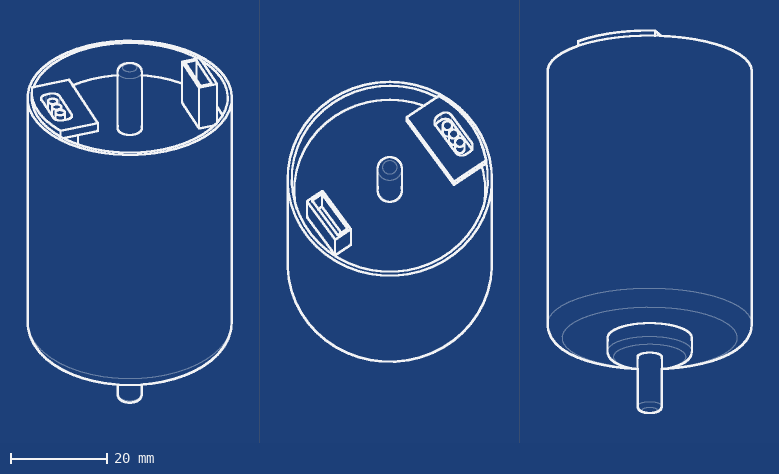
import cadquery as cq

overall_length = 82.5
boss_bottom = 11.8
can_bottom = 16.0
rim_height = 75.0
core_top = 67.4

can_diameter = 42.4
bore_diameter = 40.7
can_corner_radius = 3.05
can_floor_thickness = can_corner_radius
can_floor_top = can_bottom + can_floor_thickness
boss_diameter = 17.5
boss_corner_radius = 1.2

plate_width = 17.2
plate_inner_y = -10.2
plate_top = 76.5
plate_thickness = 2.0
plate_bottom = plate_top - plate_thickness
pocket_length = 10.2
pocket_width = 4.0
pocket_corner_radius = 1.6
pocket_depth = 4.1
pocket_y = -16.2
pin_count = 3
pin_diameter = 2.0
pin_pitch = 2.2
pedestal_wall = 0.7

core_diameter = 39.6
shaft_diameter = 5.0
shaft_top_face_diameter = 3.0
shaft_bottom_face_diameter = 3.2
shaft_top_radius = (shaft_diameter - shaft_top_face_diameter) / 2
shaft_bottom_radius = (shaft_diameter - shaft_bottom_face_diameter) / 2
socket_length = 10.2
socket_width = 4.0
socket_y = 15.4
socket_top = 77.6
socket_cavity_length = 9.2
socket_cavity_width = 2.5
socket_cavity_y = 15.2
socket_cavity_depth = 8.25


def cylinder(diameter, bottom, top):
    """Upright cylinder on the shaft axis between two heights."""
    return cq.Workplane("XY").workplane(offset=bottom).circle(diameter / 2).extrude(top - bottom)


def block(length, width, center_y, bottom, top):
    """Upright rectangular block centred on x = 0."""
    return (
        cq.Workplane("XY")
        .workplane(offset=bottom)
        .center(0, center_y)
        .rect(length, width)
        .extrude(top - bottom)
    )


def make_terminal():
    """Slab with a curved outer edge on a pedestal, with pins flush in a rounded pocket."""
    plate_reach = plate_inner_y + can_diameter / 2
    plate = block(plate_width, plate_reach, plate_inner_y - plate_reach / 2, plate_bottom, plate_top)
    plate = plate.intersect(cylinder(bore_diameter, plate_bottom, plate_top))

    pedestal = block(
        pocket_length + 2 * pedestal_wall,
        pocket_width + 2 * pedestal_wall,
        pocket_y,
        core_top,
        plate_bottom,
    )
    terminal = plate.union(pedestal)

    pocket_floor = plate_top - pocket_depth
    pocket = block(pocket_length, pocket_width, pocket_y, pocket_floor, plate_top)
    terminal = terminal.cut(pocket.edges("|Z").fillet(pocket_corner_radius))

    for index in range(pin_count):
        pin_x = (index - (pin_count - 1) / 2) * pin_pitch
        pin = cylinder(pin_diameter, pocket_floor, plate_top)
        terminal = terminal.union(pin.translate((pin_x, pocket_y, 0)))
    return terminal


def make_can():
    """Cup and boss, with a through hole for the shaft."""
    shell = cylinder(can_diameter, can_bottom, rim_height).faces("<Z").edges().fillet(can_corner_radius)
    boss = cylinder(boss_diameter, boss_bottom, can_floor_top)
    boss = boss.faces("<Z").edges().fillet(boss_corner_radius)
    bore = cylinder(bore_diameter, can_floor_top, rim_height)
    shaft_hole = cylinder(shaft_diameter, boss_bottom, can_floor_top)
    return shell.union(boss).cut(bore).cut(shaft_hole)


def make_shaft():
    """Shaft running the full length, rounded at both tips."""
    shaft = cylinder(shaft_diameter, 0, overall_length)
    shaft = shaft.faces(">Z").edges().fillet(shaft_top_radius)
    return shaft.faces("<Z").edges().fillet(shaft_bottom_radius)


def make_socket():
    """Rectangular connector socket, open at the top."""
    socket = block(socket_length, socket_width, socket_y, core_top, socket_top)
    cavity_floor = socket_top - socket_cavity_depth
    cavity = block(
        socket_cavity_length, socket_cavity_width, socket_cavity_y, cavity_floor, socket_top
    )
    return socket.cut(cavity)


def make_core():
    """Core resting on the can floor, clear of the bore, with its shaft, socket and terminal."""
    core_block = cylinder(core_diameter, can_floor_top, core_top)
    return core_block.union(make_shaft()).union(make_socket()).union(make_terminal())


can = make_can()
core = make_core()

result = cq.Compound.makeCompound([can.val(), core.val()])